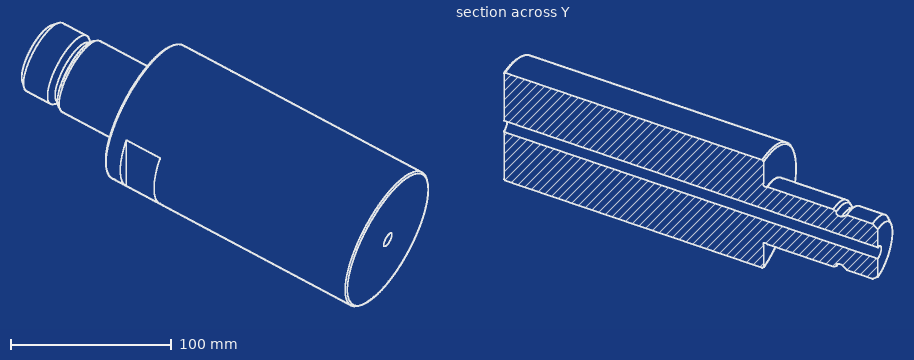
import cadquery as cq
import math

length = 259.0
body_radius = 47.0
body_start = 79.0
body_chamfer = 1.0
bore_radius = 4.7

nose_radius = 24.0
nose_tip_radius = 20.7
nose_chamfer_length = 3.5
nose_end = 21.5

neck_radius = 21.0
neck_end = 28.7
neck_start = 25.0
neck_fillet = 1.8

shank_radius = 25.0
shank_chamfer = 2.0
shank_chamfer_drop = 1.3
relief_start = 76.5
relief_depth = 0.5
relief_face_depth = 0.3
relief_face_radius = 27.0
relief_fillet = 1.0

flat_start = 90.6
flat_width = 25.0
flat_distance = 40.1


def turned_profile():
    """Half section of the turned part, with X as the axis and Y as the radius."""
    arc_mid = 1 - math.sqrt(0.5)
    relief_radius = shank_radius - relief_depth
    relief_end = body_start + relief_face_depth
    return (
        cq.Workplane("XY")
        .moveTo(0, 0)
        .lineTo(0, nose_tip_radius)
        .lineTo(nose_chamfer_length, nose_radius)
        .lineTo(nose_end, nose_radius)
        .lineTo(neck_start, neck_radius)
        .lineTo(neck_end - neck_fillet, neck_radius)
        .threePointArc(
            (neck_end - arc_mid * neck_fillet, neck_radius + arc_mid * neck_fillet),
            (neck_end, neck_radius + neck_fillet),
        )
        .lineTo(neck_end, shank_radius - shank_chamfer_drop)
        .lineTo(neck_end + shank_chamfer, shank_radius)
        .lineTo(relief_start, shank_radius)
        .lineTo(relief_start + relief_depth, relief_radius)
        .lineTo(relief_end - relief_fillet, relief_radius)
        .threePointArc(
            (relief_end - arc_mid * relief_fillet, relief_radius + arc_mid * relief_fillet),
            (relief_end, relief_radius + relief_fillet),
        )
        .lineTo(body_start, relief_face_radius)
        .lineTo(body_start, body_radius - body_chamfer)
        .lineTo(body_start + body_chamfer, body_radius)
        .lineTo(length - body_chamfer, body_radius)
        .lineTo(length, body_radius - body_chamfer)
        .lineTo(length, 0)
        .close()
    )


def flat_cutter(side):
    """Block that removes the material outside one flat; side is +1 or -1 along Y."""
    depth = body_radius - flat_distance
    center_x = flat_start + flat_width / 2
    center_y = side * (flat_distance + depth / 2)
    return cq.Workplane("XY").box(flat_width, depth, 2 * body_radius).translate((center_x, center_y, 0))


result = turned_profile().revolve(360, (0, 0, 0), (1, 0, 0))

for side in (-1, 1):
    result = result.cut(flat_cutter(side))

result = result.cut(cq.Workplane("YZ").circle(bore_radius).extrude(length))